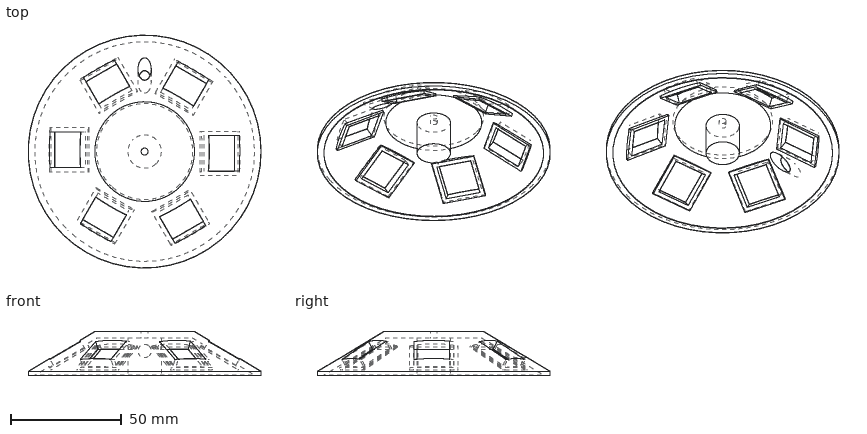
import cadquery as cq
import math

outer_radius = 52.5
height = 20.0
rim_height = 2.0
top_radius = 22.5
inner_rim_diameter = 99.0
wall = outer_radius - inner_rim_diameter / 2

boss_diameter = 15.0
center_hole_diameter = 3.2
center_hole_depth = wall

window_count = 6
window_size = 16.0
window_radius = 36.0
window_offset = 0.8
pad_depth = 4.7
pad_border = 2.0

cable_hole_diameter = 6.0
cable_hole_height = 11.1

cone_run = outer_radius - top_radius
cone_rise = height - rim_height
slope = math.atan2(cone_rise, cone_run)
window_height = height - (window_radius - top_radius) * math.tan(slope)

inner_shift = wall / math.sin(slope)
inner_rim_height = rim_height + (wall - inner_shift) * math.tan(slope)
ceiling_height = height - wall
ceiling_radius = top_radius + wall / math.tan(slope) - inner_shift


def dome(base_radius, edge_height, flat_radius, flat_height):
    """Solid truncated cone standing on a short cylindrical rim."""
    profile = [
        (0, 0),
        (base_radius, 0),
        (base_radius, edge_height),
        (flat_radius, flat_height),
        (0, flat_height),
    ]
    return cq.Workplane("XZ").polyline(profile).close().revolve(360, (0, 0, 0), (0, 1, 0))


def tilted_block(size, below, above, angle):
    """Square block through the window centre, square to the cone, at an angle about Z."""
    block = cq.Workplane("XY").box(size, size, below + above, centered=(True, True, False))
    return (
        block.translate((0, 0, -below))
        .rotate((0, 0, 0), (0, 1, 0), math.degrees(slope))
        .translate((window_radius, -window_offset, window_height))
        .rotate((0, 0, 0), (0, 0, 1), angle)
    )


window_angles = [i * 360 / window_count for i in range(window_count)]

envelope = dome(outer_radius, rim_height, top_radius, height)
cavity = dome(inner_rim_diameter / 2, inner_rim_height, ceiling_radius, ceiling_height)
result = envelope.cut(cavity)

boss = cq.Workplane("XY").circle(boss_diameter / 2).extrude(height)
result = result.union(boss)

for angle in window_angles:
    pad = tilted_block(window_size + 2 * pad_border, pad_depth, wall, angle)
    result = result.union(pad.intersect(envelope))

for angle in window_angles:
    result = result.cut(tilted_block(window_size, 2 * pad_depth, 2 * wall, angle))

center_hole = (
    cq.Workplane("XY", origin=(0, 0, height))
    .circle(center_hole_diameter / 2)
    .extrude(-center_hole_depth)
)
result = result.cut(center_hole)

cable_hole = (
    cq.Workplane("XZ", origin=(0, outer_radius, cable_hole_height))
    .circle(cable_hole_diameter / 2)
    .extrude(cone_run)
)
result = result.cut(cable_hole)